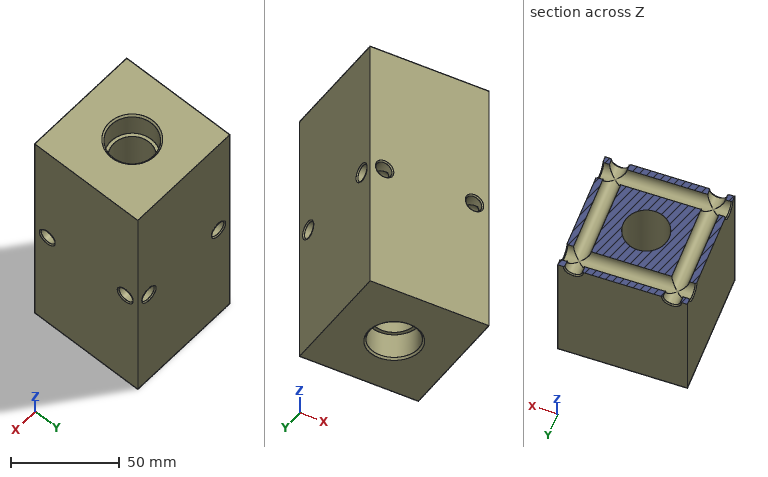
import cadquery as cq

height = 139.7
width = 63.5

bore_diameter = 22.4
port_diameter = 26.0
port_mouth_diameter = 28.0
port_depth = 14.4

hole_diameter = 8.5
hole_mouth_diameter = 9.8
hole_spacing = 48.0

countersink_angle = 90


def cut_bore(body):
    """Drill the through bore and a flat-bottomed, countersunk port in each end."""
    body = body.faces(">Z").workplane(origin=(0, 0, 0)).hole(bore_diameter)
    for end in ("<Z", ">Z"):
        body = (
            body.faces(end)
            .workplane(origin=(0, 0, 0))
            .cskHole(port_diameter, port_mouth_diameter, countersink_angle, depth=port_depth)
        )
    return body


def cut_cross_holes(body):
    """Drill a pair of through holes from each side face, countersinking both of their ends."""
    hole_centres = [(-hole_spacing / 2, 0), (hole_spacing / 2, 0)]
    for side in ("<X", ">X", "<Y", ">Y"):
        body = (
            body.faces(side)
            .workplane(origin=(0, 0, 0))
            .pushPoints(hole_centres)
            .cskHole(hole_diameter, hole_mouth_diameter, countersink_angle)
        )
    return body


block = cq.Workplane("XY").box(width, width, height)
result = cut_cross_holes(cut_bore(block)).solids()